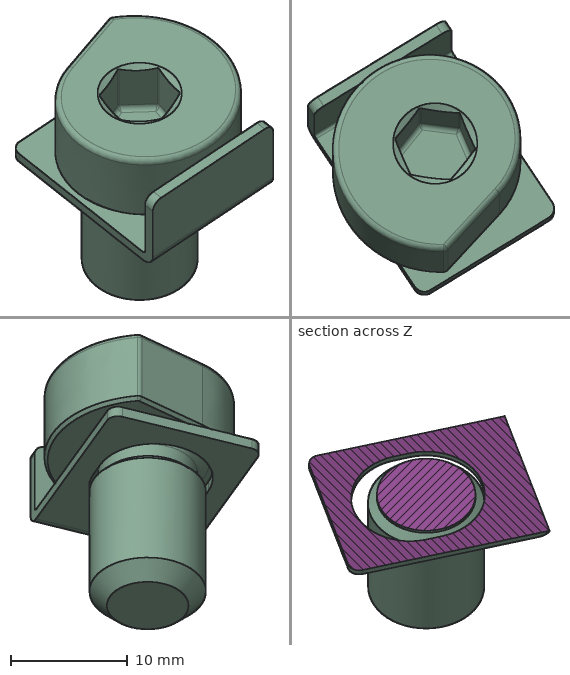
import cadquery as cq
import math


shank_radius = 5.0
tip_chamfer = 1.5
shank_top = 12.0
neck_radius = 4.25
neck_fillet = 1.0

head_bottom = 15.0
head_top = 22.0
spiral_radius = 8.303
spiral_rise = 2.9
spiral_start = -161.0
spiral_end = 153.0
spiral_segments = 60
head_edge_fillet = 0.5
head_bottom_chamfer = 0.3
nose_fillet = 0.5

socket_across_flats = 6.0
socket_angle = 20.0
socket_depth = 5.0
socket_corner_fillet = 0.15
socket_floor_fillet = 0.46
countersink_radius = 3.6
countersink_half_angle = 60.0

plate_thickness = 1.0
plate_left = -8.7
plate_length = 18.0
plate_width = 14.0
plate_bottom = 12.5
plate_top = 20.5
plate_corner_radius = 1.0
bend_inner_radius = 0.3
slot_radius = 5.02
slot_travel = 1.45


def make_shank():
    """Revolved shank with a chamfered tip, tapered shoulder and flared neck."""
    taper = shank_radius - neck_radius
    flare_start = head_bottom - neck_fillet
    flare_mid = neck_fillet * (1 - math.sqrt(0.5))
    return (
        cq.Workplane("XZ")
        .moveTo(0, 0)
        .lineTo(shank_radius - tip_chamfer, 0)
        .lineTo(shank_radius, tip_chamfer)
        .lineTo(shank_radius, shank_top)
        .lineTo(neck_radius, shank_top + taper)
        .lineTo(neck_radius, flare_start)
        .threePointArc(
            (neck_radius + flare_mid, head_bottom - flare_mid),
            (neck_radius + neck_fillet, head_bottom),
        )
        .lineTo(0, head_bottom)
        .close()
        .revolve(360, (0, 0), (0, 1))
    )


def spiral_point(fraction):
    """Point on the head outline, from its small end (0) to its large end (1)."""
    degrees = spiral_start + fraction * (spiral_end - spiral_start)
    radius = spiral_radius + spiral_rise * degrees / 360
    angle = math.radians(degrees)
    return radius * math.cos(angle), radius * math.sin(angle)


def make_head():
    """Spiral cam head whose two ends are joined by a flat."""
    head = (
        cq.Workplane("XY", origin=(0, 0, head_bottom))
        .parametricCurve(spiral_point, N=spiral_segments, makeWire=False)
        .lineTo(*spiral_point(0))
        .close()
        .extrude(head_top - head_bottom)
    )
    nose_middle = (*spiral_point(1), (head_bottom + head_top) / 2)
    head = head.edges(cq.selectors.NearestToPointSelector(nose_middle)).fillet(nose_fillet)
    head = head.faces(">Z").edges().fillet(head_edge_fillet)
    return head.faces("<Z").edges().chamfer(head_bottom_chamfer)


def make_socket():
    """Tool that cuts the hexagonal socket and its countersink."""
    hexagon = (
        cq.Workplane("XY", origin=(0, 0, head_top - socket_depth))
        .polygon(6, socket_across_flats, circumscribed=True)
        .extrude(socket_depth)
        .edges("|Z")
        .fillet(socket_corner_fillet)
        .faces("<Z")
        .edges()
        .fillet(socket_floor_fillet)
        .rotate((0, 0, 0), (0, 0, 1), socket_angle)
    )
    cone_depth = countersink_radius / math.tan(math.radians(countersink_half_angle))
    cone = cq.Workplane(
        cq.Solid.makeCone(0, countersink_radius, cone_depth, cq.Vector(0, 0, head_top - cone_depth))
    )
    return hexagon.union(cone)


def make_bolt():
    """Shank and cam head in one piece, with the drive socket cut in."""
    return make_shank().union(make_head()).cut(make_socket())


def make_plate():
    """L-shaped plate with a rounded bend, rounded corners and a clearance slot."""
    right = plate_left + plate_length
    inner_right = right - plate_thickness
    floor_top = plate_bottom + plate_thickness
    plate = (
        cq.Workplane("XZ", origin=(0, plate_width / 2, 0))
        .moveTo(plate_left, plate_bottom)
        .lineTo(right, plate_bottom)
        .lineTo(right, plate_top)
        .lineTo(inner_right, plate_top)
        .lineTo(inner_right, floor_top)
        .lineTo(plate_left, floor_top)
        .close()
        .extrude(plate_width)
    )
    plate = plate.edges("|Y and >X and <Z").fillet(bend_inner_radius + plate_thickness)
    inner_bend = cq.selectors.NearestToPointSelector((inner_right, 0, floor_top))
    plate = plate.edges(inner_bend).fillet(bend_inner_radius)
    plate = plate.edges("|Z and <X").fillet(plate_corner_radius)
    plate = plate.faces(">Z").edges("|X").fillet(plate_corner_radius)
    slot = (
        cq.Workplane("XY", origin=(-slot_travel / 2, 0, plate_bottom))
        .slot2D(slot_travel + 2 * slot_radius, 2 * slot_radius)
        .extrude(plate_thickness)
    )
    return plate.cut(slot)


bolt = make_bolt()
plate = make_plate()
result = cq.Compound.makeCompound([bolt.solids().val(), plate.solids().val()])